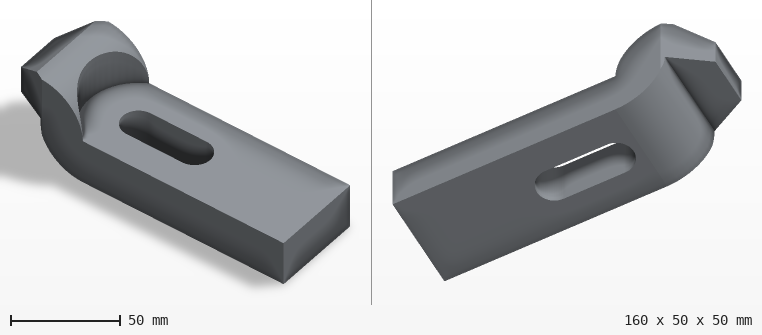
import cadquery as cq
import math

length = 160.0
width = 50.0
bar_height = width / 2
height = 2 * bar_height
bend_radius = bar_height

nose_root_x = 20.0
nose_bottom_z = 22.2
nose_top_z = 37.0
nose_slope_end_x = 16.5
tip_width = width / 2
taper_angle = 30.0

slot_start_x = 49.0
slot_length = width
slot_width = 18.0
clearance_radius = 28.0
slot_front_center_x = slot_start_x + slot_width / 2


def gooseneck_body():
    """Side profile with a round crown and a round lower bend, extruded across the width."""
    lower_bend_x = nose_root_x + bend_radius
    crown_offset = nose_root_x - nose_slope_end_x
    slope_end_z = bar_height + math.sqrt(bend_radius**2 - crown_offset**2)
    diagonal = bend_radius * math.sqrt(0.5)
    profile = (
        cq.Workplane("XZ")
        .moveTo(0, nose_bottom_z)
        .lineTo(0, nose_top_z)
        .lineTo(nose_slope_end_x, slope_end_z)
        .threePointArc(
            (nose_root_x + diagonal, bar_height + diagonal),
            (nose_root_x + bend_radius, bar_height),
        )
        .lineTo(length, bar_height)
        .lineTo(length, 0)
        .lineTo(lower_bend_x, 0)
        .threePointArc(
            (lower_bend_x - diagonal, bend_radius - diagonal),
            (nose_root_x, bar_height),
        )
        .close()
    )
    return profile.extrude(width / 2, both=True)


def tapered_outline():
    """Plan outline that narrows toward the tip, extruded to full height."""
    taper_length = (width - tip_width) / 2 / math.tan(math.radians(taper_angle))
    return (
        cq.Workplane("XY")
        .moveTo(0, -tip_width / 2)
        .lineTo(taper_length, -width / 2)
        .lineTo(length, -width / 2)
        .lineTo(length, width / 2)
        .lineTo(taper_length, width / 2)
        .lineTo(0, tip_width / 2)
        .close()
        .extrude(height)
    )


def clamping_slot():
    """Round-ended slot through the bar."""
    return (
        cq.Workplane("XY")
        .center(slot_start_x + slot_length / 2, 0)
        .slot2D(slot_length, slot_width)
        .extrude(height)
    )


def washer_clearance():
    """Vertical cylinder that hollows the bend above the bar's top face."""
    return (
        cq.Workplane("XY", origin=(slot_front_center_x, 0, bar_height))
        .circle(clearance_radius)
        .extrude(bar_height)
    )


result = gooseneck_body().intersect(tapered_outline()).cut(clamping_slot()).cut(washer_clearance())